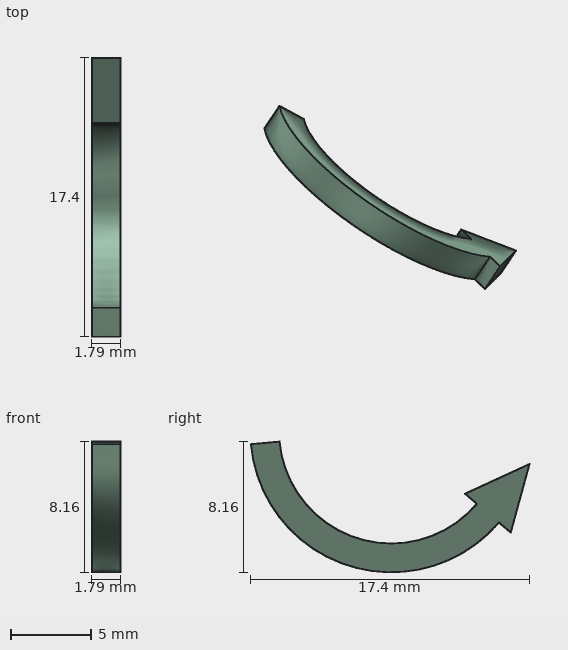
import cadquery as cq
import math

thickness = 1.79
band_width = 1.8
mid_radius = 7.89
head_width = 3.75
overall_length = 17.38
tail_angle = -5.2
neck_angle = -40.3

inner_radius = mid_radius - band_width / 2
outer_radius = mid_radius + band_width / 2


def polar(radius, angle):
    """Point in the YZ plane at an angle in degrees from +Y."""
    a = math.radians(angle)
    return (radius * math.cos(a), radius * math.sin(a))


tail_direction = -180 - tail_angle
bottom_direction = -90

tail_end_y = polar(outer_radius, tail_direction)[0]
base_middle_y = polar(mid_radius, neck_angle)[0]
head_reach_y = overall_length + tail_end_y - base_middle_y
head_length = head_reach_y / math.sin(math.radians(-neck_angle))

tip_radius = math.hypot(mid_radius, head_length)
tip_angle = neck_angle + math.degrees(math.atan2(head_length, mid_radius))

outline = (
    cq.Workplane("YZ")
    .moveTo(*polar(inner_radius, tail_direction))
    .threePointArc(polar(inner_radius, bottom_direction), polar(inner_radius, neck_angle))
    .lineTo(*polar(mid_radius - head_width / 2, neck_angle))
    .lineTo(*polar(tip_radius, tip_angle))
    .lineTo(*polar(mid_radius + head_width / 2, neck_angle))
    .lineTo(*polar(outer_radius, neck_angle))
    .threePointArc(polar(outer_radius, bottom_direction), polar(outer_radius, tail_direction))
    .close()
)

result = outline.extrude(thickness / 2, both=True)